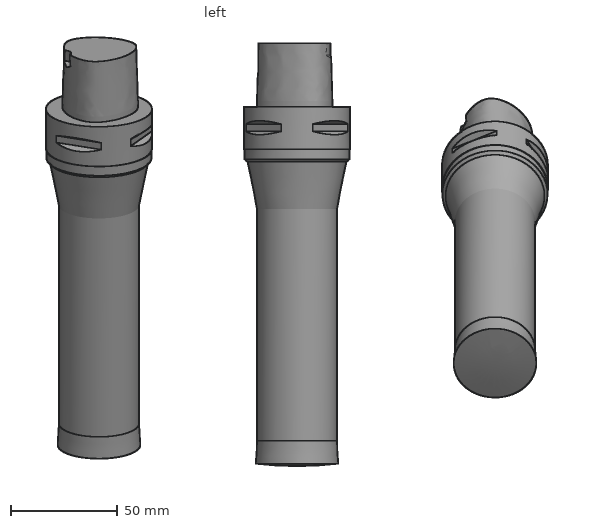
import cadquery as cq
import math

total_height = 199.0
shank_length = 30.0
flange_top_z = total_height - shank_length
neck_top_z = 171.7
flange_band_z = 149.0
flange_chamfer_z = 144.5
cone_top_z = 143.0
cone_bottom_z = 121.0
cap_top_z = 12.0
cap_edge_z = 1.2

flange_diameter = 50.0
band_diameter = 49.5
cone_diameter = 46.5
tube_diameter = 37.8
cap_diameter = 39.0

shank_mean_radius = 17.81
lobe_height = 1.1
shank_taper = 0.028
lobe_count = 3
outline_points = 24

slot_count = 4
first_slot_angle = 45
slot_z = 159.2
slot_floor_distance = 22.0
slot_floor_height = 3.4
slot_mouth_height = 6.5

notch_axis_y = -18.1
notch_top_radius = 4.0
notch_bottom_radius = 4.8
notch_depth = 5.5
notch_point_height = 2.5


def lobed_outline(z, inset):
    """Closed wire of the lobed outline at height z, moved inward by inset."""
    mean_radius = shank_mean_radius - inset
    points = []
    for i in range(outline_points):
        angle = 2 * math.pi * i / outline_points
        lobe_angle = lobe_count * (angle - math.pi / 2)
        reach = mean_radius + lobe_height * math.cos(lobe_angle)
        slide = -lobe_count * lobe_height * math.sin(lobe_angle)
        x = reach * math.cos(angle) - slide * math.sin(angle)
        y = reach * math.sin(angle) + slide * math.cos(angle)
        points.append(cq.Vector(x, y, z))
    return cq.Wire.assembleEdges([cq.Edge.makeSpline(points, periodic=True)])


def lobed_section(bottom_z, top_z, bottom_inset, top_inset):
    """Solid between two lobed outlines."""
    bottom = lobed_outline(bottom_z, bottom_inset)
    top = lobed_outline(top_z, top_inset)
    return cq.Workplane(obj=cq.Solid.makeLoft([bottom, top], True))


def make_shank():
    """Straight neck and tapered shank."""
    taper_inset = (total_height - neck_top_z) * shank_taper
    neck = lobed_section(flange_top_z, neck_top_z, 0, 0)
    taper = lobed_section(neck_top_z, total_height, 0, taper_inset)
    return neck.union(taper)


def make_notch_cutter():
    """Flared round cutter with a shallow conical point at its lower end."""
    notch_floor_z = total_height - notch_depth
    return (
        cq.Workplane("XZ")
        .moveTo(0, total_height)
        .lineTo(notch_top_radius, total_height)
        .lineTo(notch_bottom_radius, notch_floor_z)
        .lineTo(0, notch_floor_z - notch_point_height)
        .close()
        .revolve(360, (0, 0, 0), (0, 1, 0))
        .translate((0, notch_axis_y, 0))
    )


def make_slot_cutter(angle):
    """Straight slot with sloping walls, its floor facing the given angle."""
    mouth_distance = flange_diameter / 2
    return (
        cq.Workplane("XZ")
        .moveTo(slot_floor_distance, slot_z - slot_floor_height / 2)
        .lineTo(mouth_distance, slot_z - slot_mouth_height / 2)
        .lineTo(mouth_distance, slot_z + slot_mouth_height / 2)
        .lineTo(slot_floor_distance, slot_z + slot_floor_height / 2)
        .close()
        .extrude(flange_diameter / 2, both=True)
        .rotate((0, 0, 0), (0, 0, 1), angle)
    )


def make_holder():
    """Flange, cone and tube turned as one piece, with the polygon shank on top."""
    flange_radius = flange_diameter / 2
    band_radius = band_diameter / 2
    cone_radius = cone_diameter / 2
    tube_radius = tube_diameter / 2
    holder = (
        cq.Workplane("XZ")
        .moveTo(0, cap_top_z)
        .lineTo(tube_radius, cap_top_z)
        .lineTo(tube_radius, cone_bottom_z)
        .lineTo(cone_radius, cone_top_z)
        .lineTo(band_radius, flange_chamfer_z)
        .lineTo(band_radius, flange_band_z)
        .lineTo(flange_radius, flange_band_z)
        .lineTo(flange_radius, flange_top_z)
        .lineTo(0, flange_top_z)
        .close()
        .revolve(360, (0, 0, 0), (0, 1, 0))
    )
    holder = holder.union(make_shank()).cut(make_notch_cutter())
    for i in range(slot_count):
        holder = holder.cut(make_slot_cutter(first_slot_angle + i * 360 / slot_count))
    return holder


def make_cap():
    """Slightly flared end cap with a shallow domed bottom."""
    cap_radius = cap_diameter / 2
    dome_radius = (cap_radius**2 + cap_edge_z**2) / (2 * cap_edge_z)
    half_angle = math.asin(cap_radius / dome_radius) / 2
    arc_middle = (dome_radius * math.sin(half_angle), dome_radius * (1 - math.cos(half_angle)))
    return (
        cq.Workplane("XZ")
        .moveTo(0, 0)
        .threePointArc(arc_middle, (cap_radius, cap_edge_z))
        .lineTo(tube_diameter / 2, cap_top_z)
        .lineTo(0, cap_top_z)
        .close()
        .revolve(360, (0, 0, 0), (0, 1, 0))
    )


holder = make_holder()
cap = make_cap()
result = cq.Compound.makeCompound([holder.val(), cap.val()])